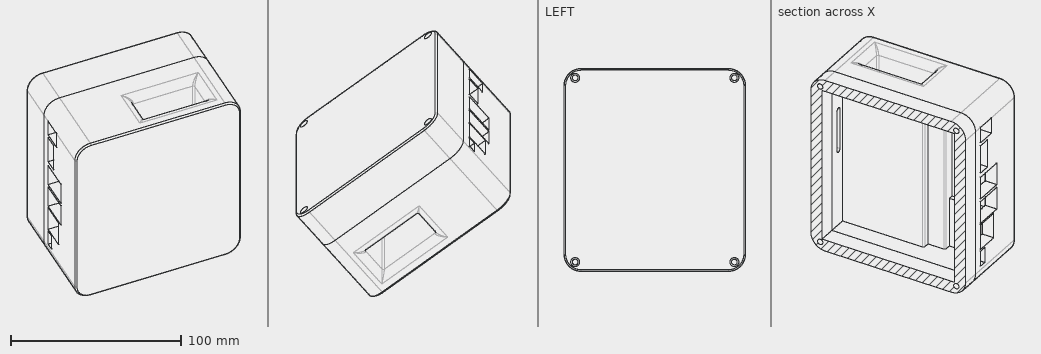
import cadquery as cq

LENGTH_X = 70.0
WIDTH_Y = 106.5
HEIGHT_Z = 119.0
CORNER_RADIUS = 10.0
EDGE_CHAMFER = 1.0

COVER_DEPTH = 25.0
COVER_FLOOR = 6.0

CAVITY_WALL = 8.0
CAVITY_FLOOR_X = 49.1
LOW_FLOOR_X = 46.2
LOW_FLOOR_TOP_Z = -18.5

SCREW_INSET_Y = 6.5
SCREW_INSET_Z = 5.5
SCREW_DIAMETER = 3.3
HEAD_DIAMETER = 5.2
HEAD_DEPTH = 3.0
THREAD_DEPTH = 10.0

HANDLE_X0 = 42.8
HANDLE_X1 = 60.0
HANDLE_Y0 = -4.8
HANDLE_Y1 = 35.3
HANDLE_FLARE = 4.8
HANDLE_CORNER = 1.0
SELECT_MARGIN = 1.2

HANDLE_WALL = 5.8
SHELF_X = 41.5
SHELF_DEPTH_Y = 11.9
STEP_FILLET = 1.0

PORT_X0 = 30.8
PORTS = [
    (12.3, 38.8, HEIGHT_Z / 2 - CORNER_RADIUS),
    (7.9, 17.7, 36.7),
    (18.2, -0.2, 14.8),
    (18.2, -17.3, -2.1),
    (14.8, -35.3, -18.3),
    (4.6, -47.0, -36.7),
]

CARD_SLOT_WIDTH = 3.3
CARD_SLOT_X = 32.5
CARD_SLOT_Z0 = -1.2
CARD_SLOT_Z1 = 29.5

HALF_Y = WIDTH_Y / 2
HALF_Z = HEIGHT_Z / 2
CAVITY_Y = HALF_Y - CAVITY_WALL
CAVITY_Z = HALF_Z - CAVITY_WALL


def box(x0, x1, y0, y1, z0, z1):
    """Axis-aligned block between two opposite corners."""
    return cq.Workplane("XY").box(x1 - x0, y1 - y0, z1 - z0, centered=False).translate((x0, y0, z0))


def rounded_block(x0, x1, chamfered_end):
    """Outer block with four rounded long edges and one chamfered end face."""
    block = box(x0, x1, -HALF_Y, HALF_Y, -HALF_Z, HALF_Z)
    return block.edges("|X").fillet(CORNER_RADIUS).faces(chamfered_end).chamfer(EDGE_CHAMFER)


def corner_cylinders(diameter, x0, x1):
    """One cylinder along X at each screw position."""
    return (
        cq.Workplane("YZ", origin=(x0, 0, 0))
        .rect(WIDTH_Y - 2 * SCREW_INSET_Y, HEIGHT_Z - 2 * SCREW_INSET_Z, forConstruction=True)
        .vertices()
        .circle(diameter / 2)
        .extrude(x1 - x0)
    )


def make_cover():
    """Tray that closes the housing, with counterbored screw holes."""
    cover = rounded_block(0, COVER_DEPTH, "<X")
    cover = cover.cut(box(COVER_FLOOR, COVER_DEPTH, -CAVITY_Y, CAVITY_Y, -CAVITY_Z, CAVITY_Z))
    cover = cover.cut(corner_cylinders(SCREW_DIAMETER, 0, COVER_DEPTH))
    return cover.cut(corner_cylinders(HEAD_DIAMETER, 0, HEAD_DEPTH))


def raised_block(x0, front_y):
    """Step rising from the cavity floor and reaching to the +Y wall, with a rounded front edge."""
    block = box(x0, CAVITY_FLOOR_X, front_y, CAVITY_Y, -CAVITY_Z, CAVITY_Z)
    return block.edges("<X and <Y").fillet(STEP_FILLET)


def make_cavity():
    """Inside space of the housing, stepped around the handle, its shelf and the lower floor."""
    cavity = box(COVER_DEPTH, CAVITY_FLOOR_X, -CAVITY_Y, CAVITY_Y, -CAVITY_Z, CAVITY_Z)
    low_floor = box(LOW_FLOOR_X, CAVITY_FLOOR_X, -CAVITY_Y, CAVITY_Y, -CAVITY_Z, LOW_FLOOR_TOP_Z)
    handle_front = HANDLE_Y0 - HANDLE_WALL
    shelf_front = handle_front - SHELF_DEPTH_Y
    handle_block = raised_block(HANDLE_X0 - HANDLE_WALL, handle_front)
    shelf = raised_block(SHELF_X, shelf_front)
    return cavity.cut(low_floor).cut(handle_block).cut(shelf)


def near_handle(z):
    """Selector for the edges of the handle opening centred close to height z."""
    low_corner = (HANDLE_X0 - SELECT_MARGIN, HANDLE_Y0 - SELECT_MARGIN, z - SELECT_MARGIN)
    high_corner = (HANDLE_X1 + SELECT_MARGIN, HANDLE_Y1 + SELECT_MARGIN, z + SELECT_MARGIN)
    return cq.selectors.BoxSelector(low_corner, high_corner)


def cut_handle(body):
    """Cut the handle opening along Z, flare both mouths and round its corners."""
    body = body.cut(box(HANDLE_X0, HANDLE_X1, HANDLE_Y0, HANDLE_Y1, -HALF_Z, HALF_Z))
    for mouth_z in (-HALF_Z, HALF_Z):
        body = body.edges(near_handle(mouth_z)).fillet(HANDLE_FLARE)
    return body.edges(near_handle(0)).fillet(HANDLE_CORNER)


def make_housing():
    """Main shell with the handle opening, port openings and card slot."""
    housing = cut_handle(rounded_block(COVER_DEPTH, LENGTH_X, ">X"))
    housing = housing.cut(make_cavity())
    for width, z0, z1 in PORTS:
        housing = housing.cut(box(PORT_X0, PORT_X0 + width, -HALF_Y, -CAVITY_Y, z0, z1))
    card_slot = (
        cq.Workplane("XZ", origin=(CARD_SLOT_X, HALF_Y, (CARD_SLOT_Z0 + CARD_SLOT_Z1) / 2))
        .slot2D(CARD_SLOT_Z1 - CARD_SLOT_Z0, CARD_SLOT_WIDTH, 90)
        .extrude(CAVITY_WALL)
    )
    housing = housing.cut(card_slot)
    return housing.cut(corner_cylinders(SCREW_DIAMETER, COVER_DEPTH, COVER_DEPTH + THREAD_DEPTH))


cover = make_cover()
housing = make_housing()
result = cq.Compound.makeCompound([cover.val(), housing.val()])